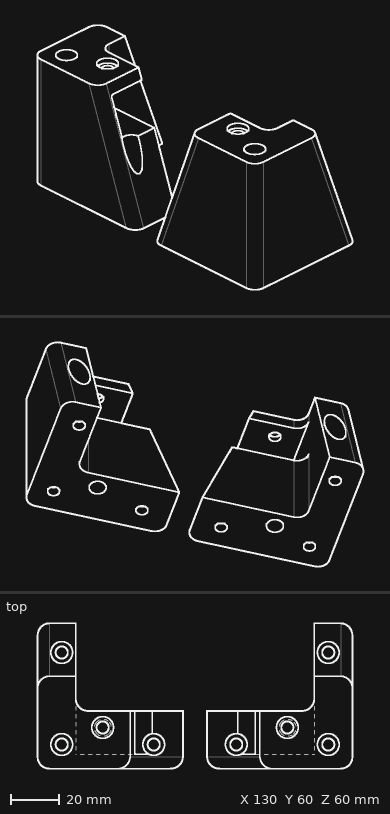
import cadquery as cq
import math

overall_length = 130.0
foot_size = 60.0
slope_angle = 20.0
side_arm_width = 15.9
front_arm_width = 23.9
edge_radius = 5.0

slot_floor_height = 35.0
slot_ceiling_height = 54.9
slot_front_wall = 6.0
slot_corner_radius = 1.0

screw_diameter = 5.0
head_diameter = 9.0
screw_inset = 10.0
arm_screw_offset = 48.0
head_seat_height = 5.0
clamp_screw_x = 26.9
clamp_screw_y = 17.0
clamp_head_depth = 2.3
clamp_bore_diameter = 7.0

top_length = foot_size - foot_size * math.tan(math.radians(slope_angle))


def tapered_block():
    """Block with two upright outer faces and two sloping end faces."""
    profile = [(0, 0), (foot_size, 0), (top_length, foot_size), (0, foot_size)]
    along_x = cq.Workplane("XZ").polyline(profile).close().extrude(-foot_size)
    along_y = cq.Workplane("YZ").polyline(profile).close().extrude(foot_size)
    return along_x.intersect(along_y)


def l_shaped_foot():
    """Tapered block with the inside of the L removed and its edges rounded."""
    inside = (
        cq.Workplane("XY")
        .box(foot_size, foot_size, foot_size, centered=False)
        .edges("|Z and <X and <Y").fillet(edge_radius)
        .translate((side_arm_width, front_arm_width, 0))
    )
    foot = tapered_block().cut(inside)
    middle = foot_size / 2
    return (
        foot
        .edges(cq.selectors.NearestToPointSelector((0, 0, middle)))
        .fillet(edge_radius)
        .edges(cq.selectors.NearestToPointSelector(((foot_size + top_length) / 2, 0, middle)))
        .fillet(edge_radius)
        .edges(cq.selectors.NearestToPointSelector((0, (foot_size + top_length) / 2, middle)))
        .fillet(edge_radius)
    )


def clamp_slot():
    """Slot open to the inside and the sloping end of the front arm."""
    return (
        cq.Workplane("XY")
        .box(
            foot_size - side_arm_width,
            foot_size - slot_front_wall,
            slot_ceiling_height - slot_floor_height,
            centered=False,
        )
        .edges("|X and <Y and >Z").fillet(slot_corner_radius)
        .translate((side_arm_width, slot_front_wall, slot_floor_height))
    )


def screw_hole(x, y, seat_height):
    """Through hole with a head bore from the seat up to the top."""
    shank = cq.Workplane("XY").center(x, y).circle(screw_diameter / 2).extrude(foot_size)
    head = (
        cq.Workplane("XY", origin=(x, y, seat_height))
        .circle(head_diameter / 2)
        .extrude(foot_size - seat_height)
    )
    return shank.union(head)


def clamp_screw_hole():
    """Counterbored hole above the slot and a wider bore below it."""
    lower_bore = (
        cq.Workplane("XY")
        .center(clamp_screw_x, clamp_screw_y)
        .circle(clamp_bore_diameter / 2)
        .extrude(slot_floor_height)
    )
    return screw_hole(clamp_screw_x, clamp_screw_y, foot_size - clamp_head_depth).union(lower_bore)


def corner_foot():
    """Complete foot with its outer corner at the origin."""
    foot = l_shaped_foot().cut(clamp_slot())
    mounting_screws = [
        (screw_inset, screw_inset),
        (arm_screw_offset, screw_inset),
        (screw_inset, arm_screw_offset),
    ]
    for x, y in mounting_screws:
        foot = foot.cut(screw_hole(x, y, head_seat_height))
    return foot.cut(clamp_screw_hole())


feet = []
for is_mirrored in (False, True):
    foot = corner_foot()
    if is_mirrored:
        foot = foot.mirror("YZ").translate((overall_length, 0, 0))
    feet.append(foot.val())

result = cq.Compound.makeCompound(feet)